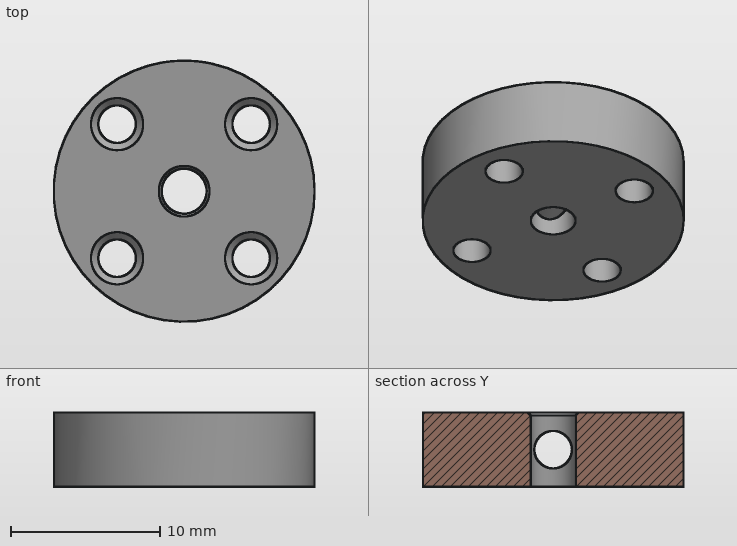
import cadquery as cq
import math

HUB_DIAMETER = 17.5
HUB_THICKNESS = 5.0

BORE_DIAMETER = 3.0
BORE_MOUTH_DIAMETER = 3.4

MOUNT_COUNT = 4
MOUNT_DIAMETER = 2.5
MOUNT_MOUTH_DIAMETER = 3.5
BOLT_CIRCLE_DIAMETER = 12.7
FIRST_MOUNT_ANGLE = 45.0

SET_SCREW_DIAMETER = 2.5
SET_SCREW_CHAMFER = 0.4

Z_AXIS = cq.Vector(0, 0, 1)
INWARD = cq.Vector(0, -1, 0)


def make_disc():
    return cq.Workplane("XY").circle(HUB_DIAMETER / 2).extrude(HUB_THICKNESS)


def make_countersunk_hole(x, y, diameter, mouth_diameter):
    """Vertical through hole with a 45 degree countersink at the top face."""
    radius = diameter / 2
    mouth_radius = mouth_diameter / 2
    sink_depth = mouth_radius - radius
    shank = cq.Solid.makeCylinder(radius, HUB_THICKNESS, cq.Vector(x, y, 0), Z_AXIS)
    sink_start = cq.Vector(x, y, HUB_THICKNESS - sink_depth)
    sink = cq.Solid.makeCone(radius, mouth_radius, sink_depth, sink_start, Z_AXIS)
    return cq.Workplane(obj=shank.fuse(sink))


def cut_set_screw_hole(body):
    """Cut a radial hole ending on the bore axis and chamfer its curved rim edge."""
    rim = cq.Vector(0, HUB_DIAMETER / 2, HUB_THICKNESS / 2)
    hole = cq.Solid.makeCylinder(SET_SCREW_DIAMETER / 2, HUB_DIAMETER / 2, rim, INWARD)
    drilled = body.cut(cq.Workplane(obj=hole))
    rim_edge = cq.selectors.NearestToPointSelector(rim.toTuple())
    return drilled.edges(rim_edge).chamfer(SET_SCREW_CHAMFER)


result = make_disc()
result = result.cut(make_countersunk_hole(0, 0, BORE_DIAMETER, BORE_MOUTH_DIAMETER))

for index in range(MOUNT_COUNT):
    angle = math.radians(FIRST_MOUNT_ANGLE + index * 360 / MOUNT_COUNT)
    mount_x = BOLT_CIRCLE_DIAMETER / 2 * math.cos(angle)
    mount_y = BOLT_CIRCLE_DIAMETER / 2 * math.sin(angle)
    result = result.cut(make_countersunk_hole(mount_x, mount_y, MOUNT_DIAMETER, MOUNT_MOUTH_DIAMETER))

result = cut_set_screw_hole(result)